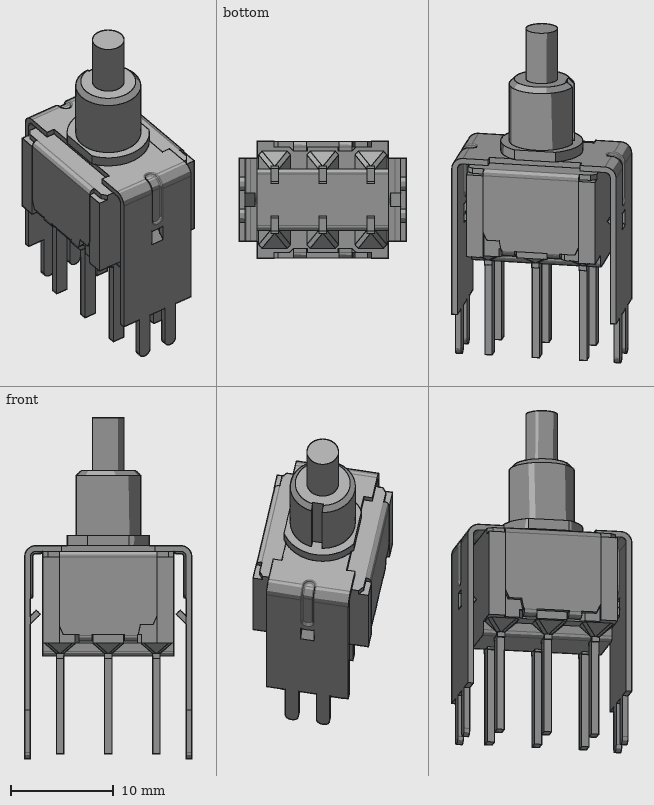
import cadquery as cq
import math


TOTAL_HEIGHT = 33.2
PLUNGER_DIA = 3.1
BUSHING_DIA = 6.35
BUSHING_TOP = 28.05
BUSHING_CHAMFER = 0.5
KEYWAY_WIDTH = 1.05
KEYWAY_FLOOR = 2.45
FLANGE_DIA = 8.0
FLANGE_FLATS = 6.9
FLANGE_TOP = 21.75

BRACKET_SHEET = 0.55
BRACKET_LENGTH = 16.25
BRACKET_WIDTH = 8.1
BRACKET_TOP = 20.75
BEND_RADIUS = 1.1
LEG_BOTTOM = 4.75
NOTCH_LENGTH = 9.1
NECK_WIDTH = 6.4
BRACKET_PIN_WIDTH = 1.3
BRACKET_PIN_PITCH = 3.1
BEAD_WIDTH = 1.33
BEAD_RADIUS = 0.115
BEAD_END = 15.53
WINDOW_WIDTH = 1.33
WINDOW_TOP = 14.97
WINDOW_BOTTOM = 13.35
TONGUE_RISE = 1.13

BODY_LENGTH = 12.75
BODY_WIDTH = 11.42
BODY_BOTTOM = 11.3
BASE_WIDTH = 5.97
BASE_BOTTOM = 10.0
BASE_FILLET = 0.45

COVER_SHEET = 0.53
COVER_WIDTH = 11.35
WALL_LENGTH = 9.45
WALL_BOTTOM = 12.08
LID_CORNER_X = 0.53
LID_CORNER_Y = 0.4
STEP_HEIGHT = 1.0
STEP_START = 2.92
STEP_RUN = 0.2
CORNER_RUN = 0.35
CORNER_RISE = 0.8
POCKET_INNER = 1.5
POCKET_OUTER = 3.25
POCKET_DEPTH = 0.4
TAB_BOTTOM = 11.5
TAB_GAP = 0.1

TERMINAL_PITCH = 4.68
TERMINAL_ROW_Y = 2.42
TERMINAL_LENGTH = 0.73
TERMINAL_WIDTH = 1.25
TERMINAL_BOTTOM = 0.5
PYRAMID_LENGTH = 3.1
PYRAMID_WIDTH = 4.6
PYRAMID_BOTTOM = 10.25
PYRAMID_CHAMFER = 0.25
COLLAR_WIDTH = 1.73
COLLAR_BOTTOM = 9.75

HALF_LENGTH = BRACKET_LENGTH / 2
LID_TOP = BRACKET_TOP - BRACKET_SHEET
BODY_TOP = LID_TOP - COVER_SHEET
LID_WIDTH = COVER_WIDTH - 2 * COVER_SHEET
BEND_X = HALF_LENGTH - BEND_RADIUS
BEND_Z = BRACKET_TOP - BEND_RADIUS


def block(length, width, bottom, top):
    """Box centred on the Z axis between two heights."""
    return cq.Workplane("XY").workplane(offset=bottom).rect(length, width).extrude(top - bottom)


def both_x(shape):
    return shape.union(shape.mirror("YZ"))


def both_y(shape):
    return shape.union(shape.mirror("XZ"))


def make_actuator():
    flange = cq.Workplane("XY").workplane(offset=BRACKET_TOP).circle(FLANGE_DIA / 2)
    flange = flange.extrude(FLANGE_TOP - BRACKET_TOP)
    flange = flange.intersect(block(FLANGE_DIA, FLANGE_FLATS, BRACKET_TOP, FLANGE_TOP))

    bushing = cq.Workplane("XY").workplane(offset=FLANGE_TOP).circle(BUSHING_DIA / 2)
    bushing = bushing.extrude(BUSHING_TOP - FLANGE_TOP).faces(">Z").chamfer(BUSHING_CHAMFER)
    keyway = block(BUSHING_DIA, KEYWAY_WIDTH, FLANGE_TOP, BUSHING_TOP)
    bushing = bushing.cut(keyway.translate((-KEYWAY_FLOOR - BUSHING_DIA / 2, 0, 0)))

    plunger = cq.Workplane("XY").workplane(offset=BUSHING_TOP).circle(PLUNGER_DIA / 2)
    plunger = plunger.extrude(TOTAL_HEIGHT - BUSHING_TOP)
    return flange.union(bushing).union(plunger)


def half_bead(height, skin_x):
    """Half of the bead cross-section at a height; its side is an S made of two quarter circles."""
    middle = BEAD_WIDTH / 2 - BEAD_RADIUS
    middle_x = skin_x + BEAD_RADIUS
    floor_x = middle_x + BEAD_RADIUS
    bulge = BEAD_RADIUS * (1 - math.sqrt(0.5))
    return (
        cq.Workplane("XY").workplane(offset=height)
        .moveTo(skin_x, 0)
        .lineTo(skin_x, BEAD_WIDTH / 2)
        .threePointArc((skin_x + bulge, middle + bulge), (middle_x, middle))
        .threePointArc((floor_x - bulge, middle - bulge), (floor_x, middle - BEAD_RADIUS))
        .lineTo(floor_x, 0)
        .close()
    )


def make_bead(start_depth):
    """Ridge running down the left leg from the top bend, start_depth below the outer skin."""
    skin_x = -BEND_X - BEND_RADIUS + start_depth
    end_z = BEAD_END + BEAD_WIDTH / 2
    straight = half_bead(end_z, skin_x).extrude(BEND_Z - end_z)
    bend = half_bead(BEND_Z, skin_x).revolve(90, (-BEND_X, 0), (-BEND_X, 1))

    leg_end = half_bead(end_z, skin_x).revolve(360, (skin_x, 0), (skin_x + 0.33, 0))
    top_end = half_bead(BEND_Z, skin_x).revolve(360, (skin_x, 0), (skin_x + 0.33, 0))
    top_end = top_end.rotate((-BEND_X, 0, BEND_Z), (-BEND_X, 1, BEND_Z), 90)
    return both_y(straight.union(bend)).union(leg_end).union(top_end)


def make_bracket():
    outer = block(BRACKET_LENGTH, BRACKET_WIDTH, 0, BRACKET_TOP)
    outer = outer.edges("|Y and >Z").fillet(BEND_RADIUS)
    inner = block(BRACKET_LENGTH - 2 * BRACKET_SHEET, BRACKET_WIDTH, 0, LID_TOP)
    inner = inner.edges("|Y and >Z").fillet(BEND_RADIUS - BRACKET_SHEET)
    bracket = outer.cut(inner)

    notches = block(NOTCH_LENGTH, BRACKET_WIDTH, LID_TOP, BRACKET_TOP)
    notches = notches.cut(block(NOTCH_LENGTH, NECK_WIDTH, LID_TOP, BRACKET_TOP))
    bracket = bracket.cut(notches)

    pin_space = block(BRACKET_LENGTH, BRACKET_WIDTH, 0, LEG_BOTTOM)
    pins = (
        cq.Workplane("YZ")
        .pushPoints([(-BRACKET_PIN_PITCH / 2, LEG_BOTTOM), (BRACKET_PIN_PITCH / 2, LEG_BOTTOM)])
        .slot2D(2 * LEG_BOTTOM, BRACKET_PIN_WIDTH, 90)
        .extrude(HALF_LENGTH, both=True)
    )
    bracket = bracket.cut(pin_space.cut(pins))

    bracket = bracket.union(both_x(make_bead(BRACKET_SHEET))).cut(both_x(make_bead(0)))

    window = block(BRACKET_LENGTH, WINDOW_WIDTH, WINDOW_BOTTOM, WINDOW_TOP)
    bracket = bracket.cut(window)
    return bracket.union(both_x(make_tongue()))


def make_tongue():
    """Tongue bent inward at 45 degrees from the lower edge of the left window."""
    inner_x = -HALF_LENGTH + BRACKET_SHEET
    tip_x = -HALF_LENGTH + TONGUE_RISE
    tip_z = WINDOW_BOTTOM + TONGUE_RISE
    tip_step = BRACKET_SHEET / math.sqrt(2)
    lower_x = tip_x + tip_step
    lower_z = tip_z - tip_step
    outline = [
        (-HALF_LENGTH, WINDOW_BOTTOM),
        (tip_x, tip_z),
        (lower_x, lower_z),
        (inner_x, lower_z - (lower_x - inner_x)),
    ]
    return cq.Workplane("XZ").polyline(outline).close().extrude(WINDOW_WIDTH / 2, both=True)


def make_body():
    body = block(BODY_LENGTH, BODY_WIDTH, BODY_BOTTOM, BODY_TOP)
    recess = block(WALL_LENGTH, BODY_WIDTH, BODY_BOTTOM, BODY_TOP)
    body = body.cut(recess.cut(block(WALL_LENGTH, LID_WIDTH, BODY_BOTTOM, BODY_TOP)))

    face_y = -LID_WIDTH / 2
    pocket_outline = [
        (POCKET_INNER, face_y),
        (POCKET_OUTER, face_y),
        (POCKET_OUTER - POCKET_DEPTH, face_y + POCKET_DEPTH),
        (POCKET_INNER, face_y + POCKET_DEPTH),
    ]
    pocket = cq.Workplane("XY").workplane(offset=BODY_BOTTOM).polyline(pocket_outline).close()
    pocket = pocket.extrude(WALL_BOTTOM - BODY_BOTTOM)
    body = body.cut(both_y(both_x(pocket)))

    base = block(BODY_LENGTH, BASE_WIDTH, BASE_BOTTOM, BODY_BOTTOM)
    return body.union(base.edges("|X and <Z").fillet(BASE_FILLET))


def make_cover():
    half_wall = WALL_LENGTH / 2
    step_z = WALL_BOTTOM + STEP_HEIGHT
    wall_outline = [
        (-half_wall, LID_TOP),
        (-half_wall, WALL_BOTTOM + CORNER_RISE),
        (-half_wall + CORNER_RUN, WALL_BOTTOM),
        (STEP_START, WALL_BOTTOM),
        (STEP_START + STEP_RUN, step_z),
        (half_wall - CORNER_RUN, step_z),
        (half_wall, step_z + CORNER_RISE),
        (half_wall, LID_TOP),
    ]
    folded = cq.Workplane("XZ").polyline(wall_outline).close().extrude(COVER_WIDTH / 2, both=True)
    folded = folded.edges("|X and >Z").fillet(COVER_SHEET)
    folded = folded.cut(block(WALL_LENGTH, LID_WIDTH, BODY_BOTTOM, BODY_TOP))

    half_lid = BODY_LENGTH / 2
    half_width = LID_WIDTH / 2
    lid_outline = [
        (half_lid, half_width - LID_CORNER_Y),
        (half_lid - LID_CORNER_X, half_width),
        (-half_lid + LID_CORNER_X, half_width),
        (-half_lid, half_width - LID_CORNER_Y),
        (-half_lid, -half_width + LID_CORNER_Y),
        (-half_lid + LID_CORNER_X, -half_width),
        (half_lid - LID_CORNER_X, -half_width),
        (half_lid, -half_width + LID_CORNER_Y),
    ]
    lid = cq.Workplane("XY").workplane(offset=BODY_TOP).polyline(lid_outline).close().extrude(COVER_SHEET)
    return folded.union(lid).union(both_y(both_x(make_crimp_tab())))


def make_crimp_tab():
    """Tab under the wall that curls inward into its pocket."""
    start_x = POCKET_INNER + TAB_GAP
    length = POCKET_OUTER - POCKET_DEPTH - start_x
    depth = COVER_SHEET + POCKET_DEPTH
    tab = cq.Workplane("XY").box(length, depth, WALL_BOTTOM - TAB_BOTTOM, centered=False)
    tab = tab.edges("|X and <Y and <Z").fillet(COVER_SHEET)
    return tab.translate((start_x, -COVER_WIDTH / 2, TAB_BOTTOM))


def make_terminal():
    """Terminal centred on the Z axis: pin, collar and chamfered inverted pyramid."""
    pyramid = (
        cq.Workplane("XY").workplane(offset=BODY_BOTTOM)
        .rect(PYRAMID_LENGTH, PYRAMID_WIDTH)
        .workplane(offset=PYRAMID_BOTTOM - BODY_BOTTOM)
        .rect(TERMINAL_LENGTH, COLLAR_WIDTH)
        .loft(ruled=True)
    )
    pyramid = pyramid.edges("not #Z").chamfer(PYRAMID_CHAMFER)
    collar = block(TERMINAL_LENGTH, COLLAR_WIDTH, COLLAR_BOTTOM, PYRAMID_BOTTOM)
    pin = block(TERMINAL_LENGTH, TERMINAL_WIDTH, TERMINAL_BOTTOM, BODY_BOTTOM)
    return pyramid.union(collar).union(pin)


result = make_body().union(make_cover()).union(make_bracket()).union(make_actuator())
terminal = make_terminal()
for column in (-1, 0, 1):
    for row in (-1, 1):
        result = result.union(terminal.translate((column * TERMINAL_PITCH, row * TERMINAL_ROW_Y, 0)))